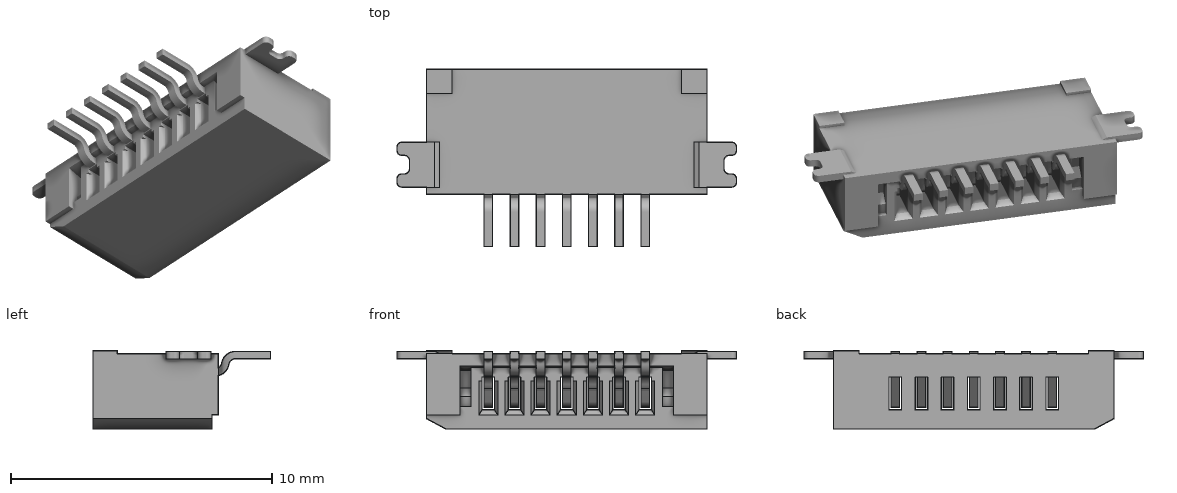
import cadquery as cq
import math


overall_width = 13.0
body_width = 10.75
body_depth = 4.8
body_height = 2.89
half_body = body_width / 2
chamfer_width = 0.75
chamfer_height = 0.4
pad_width = 0.99
pad_depth = 0.94
pad_height = 0.12

recess_depth = 0.23
recess_bottom = 0.55
recess_half_width = 4.08
recess_top = 2.42
ceiling_fall_per_depth = 0.24
pocket_width = 0.42
pocket_bottom = 0.86
pocket_slope_bottom = 1.25
pocket_slope_top = 1.57
pocket_front_depth = 0.43

contact_count = 7
contact_pitch = 1.0
funnel_width = 0.73
funnel_bottom = recess_bottom
funnel_top = 1.85
funnel_depth = 0.2
tunnel_width = 0.47
tunnel_bottom = 0.74
tunnel_top = 1.99

lead_width = 0.34
lead_thickness = 0.29
lead_reach = 2.0
lead_top = 2.98
lead_bend_start = 0.66
lead_bend_angle = math.radians(80)
arm_bottom = 2.03
arm_top = arm_bottom + lead_thickness
fork_front = 1.56
fork_back = 2.08
fork_mouth_bottom = 1.55
fork_nose_top = 1.44
fork_nose_bottom = 1.27
fork_lip_bottom = 1.01
fork_bottom = 0.83
fork_nose_reach = 0.04
fork_lip_reach = 0.09

tab_thickness = 0.29
tab_top = 2.98
tab_front = 0.27
tab_breadth = 1.73
tab_length = 1.64
tab_slope_length = 0.2
tab_notch_breadth = 0.7
tab_notch_depth = 0.48
tab_corner_radius = 0.2


def box(x_min, x_max, y_min, y_max, z_min, z_max):
    size = (x_max - x_min, y_max - y_min, z_max - z_min)
    return cq.Workplane("XY").box(*size, centered=False).translate((x_min, y_min, z_min))


def side_prism(points, x_min, x_max):
    """Prism along X from an outline of (y, z) points."""
    return cq.Workplane("YZ", origin=(x_min, 0, 0)).polyline(points).close().extrude(x_max - x_min)


def ceiling_height(depth):
    return recess_top - ceiling_fall_per_depth * depth


def housing():
    outline = [
        (-half_body + chamfer_width, 0),
        (half_body, 0),
        (half_body, body_height),
        (-half_body, body_height),
        (-half_body, chamfer_height),
    ]
    body = cq.Workplane("XZ").polyline(outline).close().extrude(-body_depth)
    pad_top = body_height + pad_height
    pad_front = body_depth - pad_depth
    for pad_left in (-half_body, half_body - pad_width):
        pad_right = pad_left + pad_width
        body = body.union(box(pad_left, pad_right, pad_front, body_depth, body_height, pad_top))
    return body


def front_recess():
    step = box(-half_body, half_body, 0, recess_depth, 0, recess_bottom)
    outline = [
        (0, recess_bottom),
        (recess_depth, recess_bottom),
        (recess_depth, ceiling_height(recess_depth)),
        (0, recess_top),
    ]
    return step.union(side_prism(outline, -recess_half_width, recess_half_width))


def recess_pocket(x_min):
    """Pocket at one end of the recess; its back wall steps deeper above a 45 degree slope."""
    back_depth = pocket_front_depth + pocket_slope_top - pocket_slope_bottom
    outline = [
        (0, pocket_bottom),
        (pocket_front_depth, pocket_bottom),
        (pocket_front_depth, pocket_slope_bottom),
        (back_depth, pocket_slope_top),
        (back_depth, ceiling_height(back_depth)),
        (0, recess_top),
    ]
    return side_prism(outline, x_min, x_min + pocket_width)


def contact_opening(x):
    """Tunnel through the housing with a funnel on both sides and below its front end."""
    left = x - tunnel_width / 2
    right = x + tunnel_width / 2
    tunnel = box(left, right, recess_depth, body_depth, tunnel_bottom, tunnel_top)
    funnel_height = funnel_top - funnel_bottom
    throat_height = funnel_top - tunnel_bottom
    funnel = (
        cq.Workplane("XZ", origin=(x, recess_depth, 0))
        .center(0, funnel_top - funnel_height / 2)
        .rect(funnel_width, funnel_height)
        .workplane(offset=-funnel_depth)
        .center(0, (funnel_height - throat_height) / 2)
        .rect(tunnel_width, throat_height)
        .loft(ruled=True)
    )
    return tunnel.union(funnel)


def on_circle(center, radius, angle):
    """Point (y, z) on a circle, with the angle measured from +Z towards +Y."""
    return (center[0] + radius * math.sin(angle), center[1] + radius * math.cos(angle))


def contact(x):
    """Lead with an S bend into the housing, ending in a fork whose mouth faces the front."""
    rise = lead_top - arm_top
    radius_sum = rise / (1 - math.cos(lead_bend_angle))
    outer = (radius_sum + lead_thickness) / 2
    inner = (radius_sum - lead_thickness) / 2
    upper_center = (-lead_bend_start, lead_top - outer)
    arm_start = -lead_bend_start + radius_sum * math.sin(lead_bend_angle)
    lower_center = (arm_start, arm_top + inner)
    full = lead_bend_angle
    half = full / 2
    bend_junction = on_circle(upper_center, outer, full)
    under_junction = on_circle(upper_center, inner, full)
    mouth_radius = (arm_bottom - fork_mouth_bottom) / 2
    lip = fork_front - fork_lip_reach
    lip_drop = fork_lip_bottom - fork_bottom
    lip_center = (lip + lip_drop, fork_lip_bottom)
    profile = (
        cq.Workplane("YZ", origin=(x - lead_width / 2, 0, 0))
        .moveTo(-lead_reach, lead_top)
        .lineTo(-lead_bend_start, lead_top)
        .threePointArc(on_circle(upper_center, outer, half), bend_junction)
        .threePointArc(on_circle(lower_center, inner, math.pi + half), (arm_start, arm_top))
        .lineTo(fork_back, arm_top)
        .lineTo(fork_back, fork_bottom)
        .lineTo(lip + lip_drop, fork_bottom)
        .threePointArc(on_circle(lip_center, lip_drop, -3 * math.pi / 4), (lip, fork_lip_bottom))
        .lineTo(fork_front - fork_nose_reach, fork_nose_bottom)
        .lineTo(fork_front, fork_nose_top)
        .lineTo(fork_front, fork_mouth_bottom)
        .threePointArc((fork_front + mouth_radius, arm_bottom - mouth_radius), (fork_front, arm_bottom))
        .lineTo(arm_start, arm_bottom)
        .threePointArc(on_circle(lower_center, outer, math.pi + half), under_junction)
        .threePointArc(on_circle(upper_center, inner, half), (-lead_bend_start, lead_top - lead_thickness))
        .lineTo(-lead_reach, lead_top - lead_thickness)
        .close()
    )
    return profile.extrude(lead_width)


def left_tab():
    """Notched solder tab, with its inner end sloping down to the top of the housing."""
    outer_end = -overall_width / 2
    slope_end = outer_end + tab_length
    bottom = tab_top - tab_thickness
    outline = [
        (outer_end, bottom),
        (slope_end, bottom),
        (slope_end, body_height),
        (slope_end - tab_slope_length, tab_top),
        (outer_end, tab_top),
    ]
    tab = cq.Workplane("XZ", origin=(0, tab_front, 0)).polyline(outline).close().extrude(-tab_breadth)
    notch_front = tab_front + (tab_breadth - tab_notch_breadth) / 2
    notch_end = outer_end + tab_notch_depth
    notch = box(outer_end, notch_end, notch_front, notch_front + tab_notch_breadth, bottom, tab_top)
    forked_end = cq.selectors.BoxSelector(
        (outer_end - tab_corner_radius, 0, 0),
        (notch_end + tab_corner_radius, body_depth, body_height + pad_height),
    )
    return tab.cut(notch).edges("|Z").edges(forked_end).fillet(tab_corner_radius)


contact_places = [(i - (contact_count - 1) / 2) * contact_pitch for i in range(contact_count)]

result = housing().cut(front_recess())
for pocket_left in (-recess_half_width, recess_half_width - pocket_width):
    result = result.cut(recess_pocket(pocket_left))
for place in contact_places:
    result = result.cut(contact_opening(place))
for place in contact_places:
    result = result.union(contact(place))
result = result.union(left_tab()).union(left_tab().mirror("YZ"))